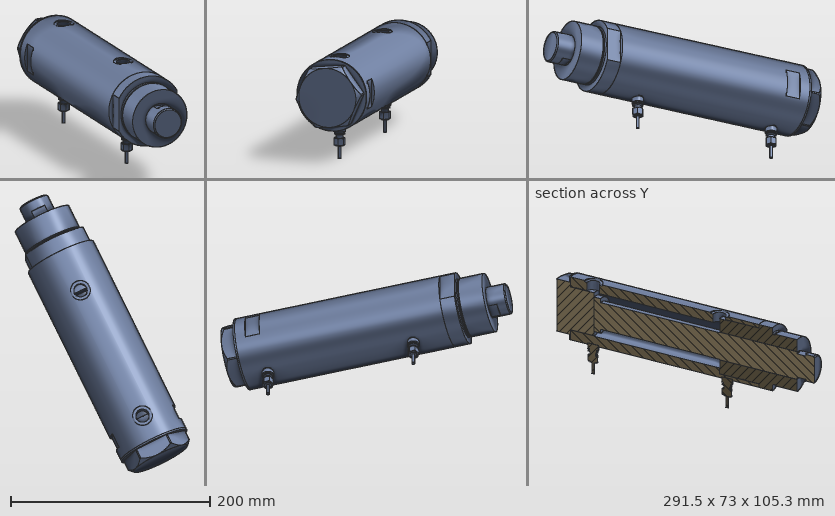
import cadquery as cq
import math


total_length = 291.5
cap_hex_length = 14.3
barrel_start = 16.0
stop_x = 42.5
gland_spigot_start = 184.0
barrel_end = 228.5
collar_end = 243.7
nose_start = 247.2
gland_end = 271.7
rod_flats_end = 281.0

barrel_diameter = 73.0
bore_diameter = 50.0
gland_spigot_diameter = 63.5
rod_diameter = 31.2

cap_across_flats = 60.0
cap_corner_diameter = 68.5
cap_hex_turn = 6.5

barrel_flats_start = 26.5
barrel_flats_length = 15.0
barrel_across_flats = 67.0
port_positions = [41.5, 183.7]
port_diameter = 13.5
spotface_diameter = 19.8
spotface_depth = 1.28

collar_across_flats = 64.0
nose_diameter = 60.0
neck_diameter = 57.7

rod_across_flats = 27.5
rod_end_chamfer = 1.2
rod_head_diameter = 40.2
rod_head_length = 7.3

sensor_positions = [40.8, 192.0]
sensor_seat_depth = 1.5
sensor_collar_diameter = 12.0
sensor_collar_bottom = -41.0
sensor_neck_diameter = 8.7
sensor_ring_diameter = 10.5
sensor_ring_top = -42.9
sensor_ring_height = 1.0
sensor_stem_diameter = 7.0
sensor_stem_top = -44.5
sensor_nut_across_flats = 10.0
sensor_nut_top = -47.8
sensor_nut_bottom = -55.0
sensor_nut_chamfer = 0.5
sensor_tip_bottom = -56.0
cable_diameter = 3.0
cable_bottom = -68.8


def axial_cylinder(start, end, diameter):
    """Cylinder on the X axis from start to end."""
    return cq.Workplane("YZ").workplane(offset=start).circle(diameter / 2).extrude(end - start)


def upright_cylinder(x, bottom, top, diameter):
    """Vertical cylinder centred over x on the main axis."""
    return cq.Workplane("XY", origin=(x, 0, bottom)).circle(diameter / 2).extrude(top - bottom)


def slab(start, end, width_y, width_z):
    """Block centred on the X axis, used to cut pairs of wrench flats."""
    return cq.Workplane("YZ").workplane(offset=start).rect(width_y, width_z).extrude(end - start)


def hexagon_corners(across_flats):
    """Diameter over the corners of a regular hexagon."""
    return across_flats / math.cos(math.pi / 6)


def make_end_cap():
    hexagon = (
        cq.Workplane("YZ")
        .polygon(6, hexagon_corners(cap_across_flats))
        .extrude(cap_hex_length)
        .rotate((0, 0, 0), (1, 0, 0), -cap_hex_turn)
    )
    bevel = (cap_corner_diameter - cap_across_flats) / 2
    envelope = axial_cylinder(0, cap_hex_length, cap_corner_diameter).faces("<X").chamfer(bevel)
    flange = axial_cylinder(cap_hex_length, barrel_start, barrel_diameter)
    spigot = axial_cylinder(barrel_start, stop_x, bore_diameter)
    return hexagon.intersect(envelope).union(flange).union(spigot)


def make_barrel():
    barrel = axial_cylinder(barrel_start, barrel_end, barrel_diameter)
    barrel = barrel.cut(axial_cylinder(barrel_start, barrel_end, bore_diameter))
    barrel = barrel.cut(axial_cylinder(gland_spigot_start, barrel_end, gland_spigot_diameter))

    flats_end = barrel_flats_start + barrel_flats_length
    ring = axial_cylinder(barrel_flats_start, flats_end, barrel_diameter)
    kept = slab(barrel_flats_start, flats_end, barrel_across_flats, barrel_diameter)
    barrel = barrel.cut(ring.cut(kept))

    top = barrel_diameter / 2
    for x in port_positions:
        barrel = barrel.cut(upright_cylinder(x, top - spotface_depth, top, spotface_diameter))
        barrel = barrel.cut(upright_cylinder(x, 0, top, port_diameter))

    for x in sensor_positions:
        barrel = barrel.cut(upright_cylinder(x, -top, sensor_seat_depth - top, sensor_collar_diameter))
    return barrel


def make_gland():
    spigot = axial_cylinder(gland_spigot_start, barrel_end, gland_spigot_diameter)
    collar = axial_cylinder(barrel_end, collar_end, barrel_diameter)
    collar = collar.intersect(slab(barrel_end, collar_end, collar_across_flats, barrel_diameter))
    nose = axial_cylinder(nose_start, gland_end, nose_diameter)

    groove_depth = (nose_diameter - neck_diameter) / 2
    neck_start = collar_end + groove_depth
    neck_end = nose_start - groove_depth
    groove_outline = [
        (collar_end, 0),
        (collar_end, nose_diameter / 2),
        (neck_start, neck_diameter / 2),
        (neck_end, neck_diameter / 2),
        (nose_start, nose_diameter / 2),
        (nose_start, 0),
    ]
    neck = cq.Workplane("XY").polyline(groove_outline).close().revolve(360, (0, 0, 0), (1, 0, 0))

    gland = spigot.union(collar).union(neck).union(nose)
    return gland.cut(axial_cylinder(gland_spigot_start, gland_end, rod_diameter))


def make_rod():
    rod = axial_cylinder(stop_x, total_length, rod_diameter).faces(">X").chamfer(rod_end_chamfer)
    plain = axial_cylinder(gland_end, rod_flats_end, rod_diameter)
    flatted = plain.intersect(slab(gland_end, rod_flats_end, rod_diameter, rod_across_flats))
    head = axial_cylinder(stop_x, stop_x + rod_head_length, rod_head_diameter)
    return rod.cut(plain.cut(flatted)).union(head)


def make_sensor(x):
    seat = sensor_seat_depth - barrel_diameter / 2
    ring_bottom = sensor_ring_top - sensor_ring_height
    outline = [
        (0, seat),
        (sensor_collar_diameter / 2, seat),
        (sensor_collar_diameter / 2, sensor_collar_bottom),
        (sensor_neck_diameter / 2, sensor_collar_bottom),
        (sensor_neck_diameter / 2, sensor_ring_top),
        (sensor_ring_diameter / 2, sensor_ring_top),
        (sensor_ring_diameter / 2, ring_bottom),
        (sensor_stem_diameter / 2, sensor_stem_top),
        (sensor_stem_diameter / 2, sensor_tip_bottom),
        (cable_diameter / 2, sensor_tip_bottom),
        (cable_diameter / 2, cable_bottom),
        (0, cable_bottom),
    ]
    turned = cq.Workplane("XZ").polyline(outline).close().revolve(360, (0, 0, 0), (0, 1, 0))

    nut_corner_diameter = hexagon_corners(sensor_nut_across_flats)
    nut = (
        cq.Workplane("XY", origin=(0, 0, sensor_nut_bottom))
        .polygon(6, nut_corner_diameter)
        .extrude(sensor_nut_top - sensor_nut_bottom)
    )
    envelope = upright_cylinder(0, sensor_nut_bottom, sensor_nut_top, nut_corner_diameter)
    nut = nut.intersect(envelope.faces("<Z or >Z").chamfer(sensor_nut_chamfer))
    return turned.union(nut).translate((x, 0, 0))


end_cap = make_end_cap()
barrel = make_barrel()
gland = make_gland()
rod = make_rod()
sensors = [make_sensor(x) for x in sensor_positions]

result = cq.Compound.makeCompound(
    [end_cap.val(), barrel.val(), gland.val(), rod.val(), *[sensor.val() for sensor in sensors]]
)